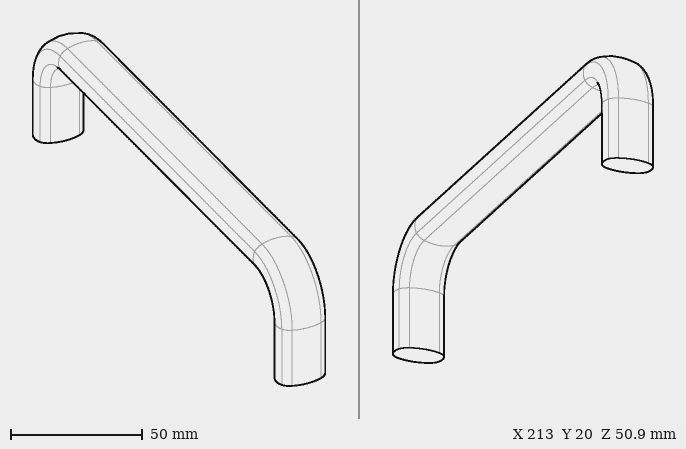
import cadquery as cq
import math

length = 213.0
height = 50.9
bar_width = 20.0
bar_thickness = 13.0
inner_bend_radius = 13.0
broad_arc_width = 12.3
broad_arc_rise = 1.0
edge_arc_width = 6.0
edge_arc_rise = 0.6
corner_bulge = 0.32

half_width = bar_width / 2
half_thickness = bar_thickness / 2
bend_radius = inner_bend_radius + half_thickness
leg_x = length / 2 - half_thickness
grip_z = height - half_thickness
bend_start_z = grip_z - bend_radius
bend_start_x = leg_x - bend_radius

broad_end = (half_thickness - broad_arc_rise, broad_arc_width / 2)
edge_end = (edge_arc_width / 2, half_width - edge_arc_rise)
corner_run = broad_end[0] - edge_end[0]
corner_climb = edge_end[1] - broad_end[1]
corner_chord = math.hypot(corner_run, corner_climb)
corner_middle = (
    (broad_end[0] + edge_end[0]) / 2 + corner_bulge * corner_climb / corner_chord,
    (broad_end[1] + edge_end[1]) / 2 + corner_bulge * corner_run / corner_chord,
)


def mirrored(point, side_x, side_y):
    """Copy of a positive-quadrant point in the quadrant with the given signs."""
    return (side_x * point[0], side_y * point[1])


def oval_section():
    """Eight-arc oval at the end of the left leg, symmetric about both axes."""
    outline = cq.Workplane("XY", origin=(-leg_x, 0, 0)).moveTo(*mirrored(broad_end, 1, -1))
    for side in (1, -1):
        outline = (
            outline
            .threePointArc((side * half_thickness, 0), mirrored(broad_end, side, side))
            .threePointArc(mirrored(corner_middle, side, side), mirrored(edge_end, side, side))
            .threePointArc((0, side * half_width), mirrored(edge_end, -side, side))
            .threePointArc(mirrored(corner_middle, -side, side), mirrored(broad_end, -side, side))
        )
    return outline.close()


def center_line():
    """Up the left leg, along the grip and down the right leg."""
    bend_middle_x = bend_start_x + bend_radius * math.sqrt(0.5)
    bend_middle_z = bend_start_z + bend_radius * math.sqrt(0.5)
    return (
        cq.Workplane("XZ")
        .moveTo(-leg_x, 0)
        .lineTo(-leg_x, bend_start_z)
        .threePointArc((-bend_middle_x, bend_middle_z), (-bend_start_x, grip_z))
        .lineTo(bend_start_x, grip_z)
        .threePointArc((bend_middle_x, bend_middle_z), (leg_x, bend_start_z))
        .lineTo(leg_x, 0)
    )


result = oval_section().sweep(center_line())